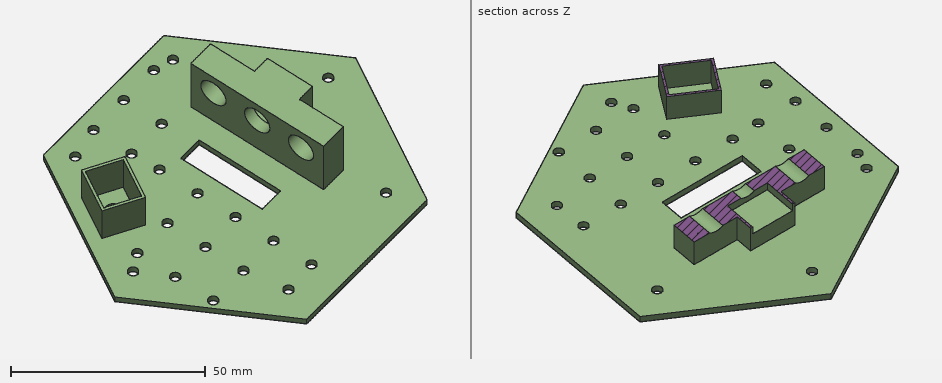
import cadquery as cq
import math

plate_corner_span = 99.6
plate_thickness = 2.0
plate_edge = plate_corner_span / 2
plate_half_width = plate_edge * math.cos(math.radians(30))

mid_x = -1.5

total_height = 20.0
bar_length = 43.5
bar_front_y = 11.0
bar_depth = 8.2
boss_length = 14.7
boss_depth = 5.4
block_hole_diameter = 8.3
block_hole_spacing = 14.3
block_hole_z = 13.5
socket_wall = 0.8
socket_height = 11.8
socket_front_wall = 3.5

window_length = 26.7
window_width = 7.6

box_length = 14.3
box_width = 12.1
box_wall = 0.8
box_top_z = 13.45
box_x = -17.6
box_y = -28.1
box_angle = -30
box_hole_diameter = 5.0

small_hole_diameter = 2.9
ring_radius = 40.35
ring_angles = range(30, 360, 60)
grid_pitch = 12.5
grid_x = -4.4
grid_y = -10.1
side_x = -38.2
side_y = 2.0


def hexagon_plate():
    corners = [
        (0, plate_edge),
        (plate_half_width, plate_edge / 2),
        (plate_half_width, -plate_edge / 2),
        (0, -plate_edge),
        (-plate_half_width, -plate_edge / 2),
        (-plate_half_width, plate_edge / 2),
    ]
    return cq.Workplane("XY").polyline(corners).close().extrude(plate_thickness)


def floor_box(length, depth, front_y, top_z):
    """Box centred on mid_x, standing on the plate's underside."""
    box = cq.Workplane("XY").box(length, depth, top_z, centered=(True, False, False))
    return box.translate((mid_x, front_y, 0))


def upright_block():
    bar = floor_box(bar_length, bar_depth, bar_front_y, total_height)
    boss = floor_box(boss_length, bar_depth + boss_depth, bar_front_y, total_height)
    hole_points = [(mid_x + i * block_hole_spacing, block_hole_z) for i in (-1, 0, 1)]
    holes = (
        cq.Workplane("XZ", origin=(0, bar_front_y, 0))
        .pushPoints(hole_points)
        .circle(block_hole_diameter / 2)
        .extrude(-(bar_depth + boss_depth))
    )
    socket_depth = bar_depth + boss_depth - socket_front_wall
    socket = (
        cq.Workplane("XZ", origin=(mid_x, bar_front_y + socket_front_wall, block_hole_z))
        .rect(boss_length - 2 * socket_wall, socket_height)
        .extrude(-socket_depth)
    )
    return bar.union(boss).cut(holes).cut(socket)


def tilted_box():
    frame = (
        cq.Workplane("XY")
        .rect(box_length, box_width)
        .rect(box_length - 2 * box_wall, box_width - 2 * box_wall)
        .extrude(box_top_z)
    )
    return frame.rotate((0, 0, 0), (0, 0, 1), box_angle).translate((box_x, box_y, 0))


def small_hole_points():
    points = []
    for angle in ring_angles:
        turn = math.radians(angle)
        points.append((mid_x + ring_radius * math.cos(turn), ring_radius * math.sin(turn)))
    for row, columns in enumerate([range(-1, 4), range(3), range(3)]):
        for column in columns:
            points.append((grid_x + column * grid_pitch, grid_y - row * grid_pitch))
    for column, row in [(0, 1), (0, 0), (1, 0), (0, -1), (1, -1)]:
        points.append((side_x + column * grid_pitch, side_y + row * grid_pitch))
    return points


def plate_holes(points, diameter):
    return cq.Workplane("XY").pushPoints(points).circle(diameter / 2).extrude(plate_thickness)


window = floor_box(window_length, window_width, -window_width / 2, plate_thickness)

result = (
    hexagon_plate()
    .cut(window)
    .cut(plate_holes(small_hole_points(), small_hole_diameter))
    .cut(plate_holes([(box_x, box_y)], box_hole_diameter))
    .union(upright_block())
    .union(tilted_box())
)